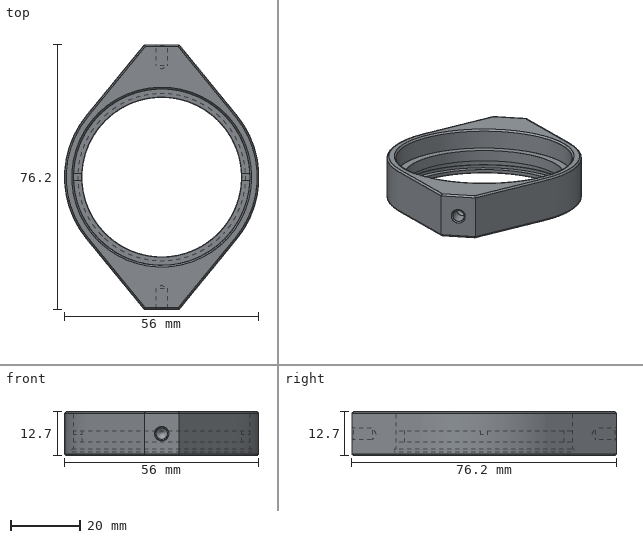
import cadquery as cq
import math

body_radius = 28.0
ear_reach = 38.1
ear_tip_width = 10.0
thickness = 12.7
edge_chamfer = 0.5

bore_radius = 25.4
bore_chamfer = 0.5
lip_opening_radius = 24.13
lip_height = 1.0

relief_radius = 25.9
relief_height = 1.0

hole_diameter = 3.3
hole_depth = 6.0
hole_chamfer = 0.4
hole_tip_angle = 118.0

ring_inner_radius = 23.0
ring_bottom = 4.0
ring_height = 3.1
ring_slot_width = 2.0
ring_slot_depth = 1.0


def housing_outline():
    """Ear flats joined to the round body by lines tangent to it."""
    tip_x = ear_tip_width / 2
    tip_distance = math.hypot(tip_x, ear_reach)
    tangent_angle = math.atan2(ear_reach, tip_x) - math.acos(body_radius / tip_distance)
    tangent_x = body_radius * math.cos(tangent_angle)
    tangent_y = body_radius * math.sin(tangent_angle)
    return (
        cq.Workplane("XY")
        .moveTo(-tip_x, -ear_reach)
        .lineTo(tip_x, -ear_reach)
        .lineTo(tangent_x, -tangent_y)
        .threePointArc((body_radius, 0), (tangent_x, tangent_y))
        .lineTo(tip_x, ear_reach)
        .lineTo(-tip_x, ear_reach)
        .lineTo(-tangent_x, tangent_y)
        .threePointArc((-body_radius, 0), (-tangent_x, -tangent_y))
        .close()
    )


def stepped_bore():
    """Material removed from the middle: lip opening, relief, bore and mouth chamfer."""
    relief_top = lip_height + relief_height
    mouth_radius = bore_radius + bore_chamfer
    return (
        cq.Workplane("XZ")
        .moveTo(0, 0)
        .lineTo(lip_opening_radius, 0)
        .lineTo(lip_opening_radius, lip_height)
        .lineTo(relief_radius, lip_height)
        .lineTo(relief_radius, relief_top)
        .lineTo(bore_radius, relief_top)
        .lineTo(bore_radius, thickness - bore_chamfer)
        .lineTo(mouth_radius, thickness)
        .lineTo(0, thickness)
        .close()
        .revolve(360, (0, 0, 0), (0, 1, 0))
    )


def ear_hole():
    """Blind hole running inward in +Y from the end of the -Y ear."""
    radius = hole_diameter / 2
    tip_length = radius / math.tan(math.radians(hole_tip_angle / 2))
    return (
        cq.Workplane("XY")
        .moveTo(0, 0)
        .lineTo(radius + hole_chamfer, 0)
        .lineTo(radius, hole_chamfer)
        .lineTo(radius, hole_depth)
        .lineTo(0, hole_depth + tip_length)
        .close()
        .revolve(360, (0, 0, 0), (0, 1, 0))
        .translate((0, -ear_reach, thickness / 2))
    )


def make_housing():
    blank = housing_outline().extrude(thickness).faces("<Z or >Z").chamfer(edge_chamfer)
    body = blank.cut(stepped_bore())
    for turn in (0, 180):
        body = body.cut(ear_hole().rotate((0, 0, 0), (0, 0, 1), turn))
    return body


def make_retaining_ring():
    ring_top = ring_bottom + ring_height
    ring = (
        cq.Workplane("XY", origin=(0, 0, ring_bottom))
        .circle(bore_radius)
        .circle(ring_inner_radius)
        .extrude(ring_height)
    )
    slots = (
        cq.Workplane("XY", origin=(0, 0, ring_top - ring_slot_depth))
        .rect(2 * bore_radius, ring_slot_width)
        .extrude(ring_slot_depth)
    )
    return ring.cut(slots)


housing = make_housing()
retaining_ring = make_retaining_ring()

result = cq.Compound.makeCompound([housing.val(), retaining_ring.val()])